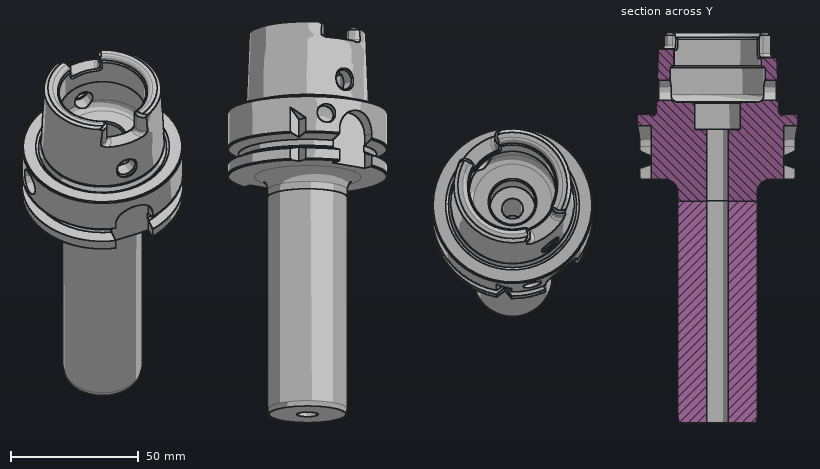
import cadquery as cq
import math

TOTAL_HEIGHT = 152.9
JOINT_Z = 87.0
FLANGE_BOTTOM_Z = 95.3
FLANGE_TOP_Z = 121.0

SHANK_RADIUS = 15.6
FOOT_LENGTH = 2.1
FOOT_INSET = 0.5
COOLANT_RADIUS = 4.1

NECK_RADIUS = SHANK_RADIUS
NECK_FILLET = 5.2
FLANGE_RADIUS = 31.5
FLANGE_EDGE = 0.5
GROOVE_RADIUS = 27.0
GROOVE_UPPER_Z = 106.1
GROOVE_FLOOR_TOP_Z = 104.3
GROOVE_FLOOR_BOTTOM_Z = 101.8
GROOVE_FOOT_RADIUS = 27.8
GROOVE_FOOT_Z = 101.0
GROOVE_LOWER_Z = 99.8

TAPER_FOOT_RADIUS = 24.2
TAPER_FOOT_Z = 123.0
TAPER_TOP_RADIUS = 23.0
RIM_OUTER_RADIUS = 21.4
RIM_EDGE_DROP = 0.54
RIM_INNER_RADIUS = 19.5
RELIEF_RADIUS = 23.9
RELIEF_Z = 122.0
RELIEF_OUTER_RADIUS = 26.1
RELIEF_FLOOR_RADIUS = 25.0
RELIEF_DEPTH = 0.6

BORE_RADIUS = 17.0
BORE_EDGE_CHAMFER = 0.6
CLAMP_EDGE_Z = 139.9
CHAMBER_RADIUS = 18.5
CHAMBER_ANGLE = 60
BORE_FLOOR_Z = 125.7
BORE_FLOOR_FILLET = 3.0
TUBE_SEAT_RADIUS = 8.9
TUBE_SEAT_DEPTH = 10.7
TUBE_SEAT_CHAMFER = 0.6

RIM_SLOT_HALF_WIDTH = 6.3
RIM_SLOT_FLOOR_FILLET = 1.5
RIM_SLOT_FLARE_RADIUS = 3.2
RIM_SLOT_FLARE_END = 21.0
SHALLOW_SLOT_FLOOR_Z = 146.5
DEEP_SLOT_FLOOR_Z = 143.1
RIM_SLOT_CHAMFER = 1.0

CROSS_HOLE_Z = 130.3
CROSS_HOLE_RADIUS = 3.8
CROSS_HOLE_MOUTH_RADIUS = 4.5
CROSS_HOLE_WALL = 23.5

KEYWAY_HALF_WIDTH = 8.0
KEYWAY_FLOOR = 26.0
KEYWAY_ARC_Z = 108.4

NOTCH_WALL = 20.0
NOTCH_TOP_Z = 111.9

RIM_HOLE_Z = 114.0
CHIP_HOLE_RADIUS = 5.0
CHIP_HOLE_DEPTH = 4.6
CENTRE_MARK_RADIUS = 1.0
CENTRE_MARK_DEPTH = 0.6
SIDE_HOLE_RADIUS = 3.7
SIDE_HOLE_DEPTH = 4.0
SIDE_HOLE_ANGLE = 24.6
DRILL_POINT_ANGLE = 118

CLEARANCE = 15.3
TOLERANCE = 0.02


def turned(profile):
    """Revolve a closed XZ profile (radius, height) about the Z axis."""
    return profile.close().revolve(360, (0, 0, 0), (0, 1, 0))


def make_shank():
    """Plain shank with a narrowed foot and the coolant passage through it."""
    profile = (
        cq.Workplane("XZ")
        .moveTo(COOLANT_RADIUS, 0)
        .lineTo(SHANK_RADIUS - FOOT_INSET, 0)
        .lineTo(SHANK_RADIUS, FOOT_LENGTH)
        .lineTo(SHANK_RADIUS, JOINT_Z)
        .lineTo(COOLANT_RADIUS, JOINT_Z)
    )
    return turned(profile)


def outer_form():
    """Solid outside shape of the holder: neck, grooved flange and taper."""
    flange_edge_radius = FLANGE_RADIUS - FLANGE_EDGE
    fillet_mid = NECK_FILLET * (1 - math.sqrt(0.5))
    relief_bottom_z = FLANGE_TOP_Z - RELIEF_DEPTH
    return turned(
        cq.Workplane("XZ")
        .moveTo(0, JOINT_Z)
        .lineTo(NECK_RADIUS, JOINT_Z)
        .lineTo(NECK_RADIUS, FLANGE_BOTTOM_Z - NECK_FILLET)
        .threePointArc(
            (NECK_RADIUS + fillet_mid, FLANGE_BOTTOM_Z - fillet_mid),
            (NECK_RADIUS + NECK_FILLET, FLANGE_BOTTOM_Z),
        )
        .lineTo(flange_edge_radius, FLANGE_BOTTOM_Z)
        .lineTo(FLANGE_RADIUS, FLANGE_BOTTOM_Z + FLANGE_EDGE)
        .lineTo(FLANGE_RADIUS, GROOVE_LOWER_Z)
        .lineTo(GROOVE_FOOT_RADIUS, GROOVE_FOOT_Z)
        .lineTo(GROOVE_RADIUS, GROOVE_FLOOR_BOTTOM_Z)
        .lineTo(GROOVE_RADIUS, GROOVE_FLOOR_TOP_Z)
        .lineTo(flange_edge_radius, GROOVE_UPPER_Z)
        .lineTo(FLANGE_RADIUS, GROOVE_UPPER_Z + FLANGE_EDGE)
        .lineTo(FLANGE_RADIUS, FLANGE_TOP_Z - FLANGE_EDGE)
        .lineTo(flange_edge_radius, FLANGE_TOP_Z)
        .lineTo(RELIEF_OUTER_RADIUS, FLANGE_TOP_Z)
        .lineTo(RELIEF_FLOOR_RADIUS, relief_bottom_z)
        .lineTo(RELIEF_RADIUS, RELIEF_Z)
        .lineTo(TAPER_FOOT_RADIUS, TAPER_FOOT_Z)
        .lineTo(TAPER_TOP_RADIUS, TOTAL_HEIGHT - RIM_EDGE_DROP)
        .lineTo(RIM_OUTER_RADIUS, TOTAL_HEIGHT)
        .lineTo(0, TOTAL_HEIGHT)
    )


def clamping_bore():
    """Cutter for the stepped bore down the axis."""
    mouth_foot_radius = BORE_RADIUS + BORE_EDGE_CHAMFER
    mouth_radius = RIM_INNER_RADIUS - mouth_foot_radius
    mouth_mid = mouth_radius * (1 - math.sqrt(0.5))
    chamber_step = CHAMBER_RADIUS - BORE_RADIUS
    chamber_z = CLAMP_EDGE_Z - chamber_step / math.tan(math.radians(CHAMBER_ANGLE))
    fillet_mid = BORE_FLOOR_FILLET * (1 - math.sqrt(0.5))
    seat_floor_z = BORE_FLOOR_Z - TUBE_SEAT_DEPTH
    return turned(
        cq.Workplane("XZ")
        .moveTo(0, TOTAL_HEIGHT)
        .lineTo(RIM_INNER_RADIUS, TOTAL_HEIGHT)
        .threePointArc(
            (mouth_foot_radius + mouth_mid, TOTAL_HEIGHT - mouth_mid),
            (mouth_foot_radius, TOTAL_HEIGHT - mouth_radius),
        )
        .lineTo(BORE_RADIUS, TOTAL_HEIGHT - mouth_radius - BORE_EDGE_CHAMFER)
        .lineTo(BORE_RADIUS, CLAMP_EDGE_Z)
        .lineTo(CHAMBER_RADIUS, chamber_z)
        .lineTo(CHAMBER_RADIUS, BORE_FLOOR_Z + BORE_FLOOR_FILLET)
        .threePointArc(
            (CHAMBER_RADIUS - fillet_mid, BORE_FLOOR_Z + fillet_mid),
            (CHAMBER_RADIUS - BORE_FLOOR_FILLET, BORE_FLOOR_Z),
        )
        .lineTo(TUBE_SEAT_RADIUS + TUBE_SEAT_CHAMFER, BORE_FLOOR_Z)
        .lineTo(TUBE_SEAT_RADIUS, BORE_FLOOR_Z - TUBE_SEAT_CHAMFER)
        .lineTo(TUBE_SEAT_RADIUS, seat_floor_z)
        .lineTo(COOLANT_RADIUS, seat_floor_z)
        .lineTo(COOLANT_RADIUS, JOINT_Z)
        .lineTo(0, JOINT_Z)
    )


def rim_slot_outline(base_z):
    """Plan of a driving slot along +X, with walls that flare out in arcs to the taper surface."""
    flare = RIM_SLOT_FLARE_RADIUS
    flare_start = RIM_SLOT_FLARE_END - flare
    flare_edge = RIM_SLOT_HALF_WIDTH + flare
    inner_x = BORE_RADIUS / 2
    outer_x = RIM_SLOT_FLARE_END + CLEARANCE
    side_y = flare_edge + CLEARANCE
    return (
        cq.Workplane("XY", origin=(0, 0, base_z))
        .moveTo(inner_x, -RIM_SLOT_HALF_WIDTH)
        .lineTo(flare_start, -RIM_SLOT_HALF_WIDTH)
        .radiusArc((RIM_SLOT_FLARE_END, -flare_edge), flare)
        .lineTo(RIM_SLOT_FLARE_END, -side_y)
        .lineTo(outer_x, -side_y)
        .lineTo(outer_x, side_y)
        .lineTo(RIM_SLOT_FLARE_END, side_y)
        .lineTo(RIM_SLOT_FLARE_END, flare_edge)
        .radiusArc((flare_start, RIM_SLOT_HALF_WIDTH), flare)
        .lineTo(inner_x, RIM_SLOT_HALF_WIDTH)
        .close()
    )


def rim_slot(floor_z, direction):
    """Cutter for one driving slot, opening towards +X (direction 0) or -X (direction 180)."""
    slot = rim_slot_outline(floor_z).extrude(TOTAL_HEIGHT - floor_z)
    slot = slot.faces("<Z").edges().fillet(RIM_SLOT_FLOOR_FILLET)
    mouth_z = TOTAL_HEIGHT - RIM_SLOT_CHAMFER
    mouth = rim_slot_outline(mouth_z).extrude(RIM_SLOT_CHAMFER, taper=-45)
    return slot.union(mouth).rotate((0, 0, 0), (0, 0, 1), direction)


def chamfer_rim_slots(holder):
    """Break the edges where the driving slots open into the bore."""

    def is_slot_edge(edge):
        middle = edge.positionAt(0.5)
        on_bore = abs(math.hypot(middle.x, middle.y) - BORE_RADIUS) < TOLERANCE
        within_width = abs(middle.y) < RIM_SLOT_HALF_WIDTH + TOLERANCE
        above_floor = middle.z > DEEP_SLOT_FLOOR_Z - TOLERANCE
        return on_bore and within_width and above_floor

    return holder.edges().filter(is_slot_edge).chamfer(BORE_EDGE_CHAMFER)


def cross_hole():
    """Cutter for the hole along X through both taper walls, countersunk outside."""
    wall_radius = TAPER_FOOT_RADIUS
    hole = (
        cq.Workplane("YZ", origin=(-wall_radius, 0, CROSS_HOLE_Z))
        .circle(CROSS_HOLE_RADIUS)
        .extrude(2 * wall_radius)
    )
    countersink_depth = CROSS_HOLE_MOUTH_RADIUS - CROSS_HOLE_RADIUS
    for side in (-1, 1):
        inward = cq.Vector(-side, 0, 0)
        mouth = cq.Vector(side * CROSS_HOLE_WALL, 0, CROSS_HOLE_Z)
        countersink = cq.Solid.makeCone(
            CROSS_HOLE_MOUTH_RADIUS, CROSS_HOLE_RADIUS, countersink_depth, mouth, inward
        )
        relief = cq.Solid.makeCylinder(
            CROSS_HOLE_MOUTH_RADIUS, wall_radius - CROSS_HOLE_WALL, mouth, -inward
        )
        hole = hole.union(cq.Workplane("XY").add(countersink.fuse(relief)))
    return hole


def keyway(direction):
    """Cutter for one round-topped keyway in the flange rim."""
    arch = (
        cq.Workplane("YZ", origin=(KEYWAY_FLOOR, 0, 0))
        .moveTo(-KEYWAY_HALF_WIDTH, FLANGE_BOTTOM_Z)
        .lineTo(KEYWAY_HALF_WIDTH, FLANGE_BOTTOM_Z)
        .lineTo(KEYWAY_HALF_WIDTH, KEYWAY_ARC_Z)
        .threePointArc((0, KEYWAY_ARC_Z + KEYWAY_HALF_WIDTH), (-KEYWAY_HALF_WIDTH, KEYWAY_ARC_Z))
        .close()
        .extrude(CLEARANCE)
    )
    return arch.rotate((0, 0, 0), (0, 0, 1), direction)


def corner_notch():
    """Cutter for the right-angled notch at (-X, +Y), whose top rises at 45 degrees towards +Y."""
    depth = FLANGE_RADIUS - NOTCH_WALL
    return (
        cq.Workplane("YZ", origin=(-NOTCH_WALL, 0, 0))
        .moveTo(NOTCH_WALL, FLANGE_BOTTOM_Z)
        .lineTo(NOTCH_WALL + depth, FLANGE_BOTTOM_Z)
        .lineTo(NOTCH_WALL + depth, NOTCH_TOP_Z + depth)
        .lineTo(NOTCH_WALL, NOTCH_TOP_Z)
        .close()
        .extrude(-depth)
    )


def rim_hole(radius, depth, tip_radius, tip_depth):
    """Cutter for a hole along +X that ends in a conical tip, with its mouth at the origin."""
    floor = cq.Vector(depth, 0, 0)
    outward = cq.Vector(-1, 0, 0)
    bore = cq.Solid.makeCylinder(radius, depth + CLEARANCE, floor, outward)
    tip = cq.Solid.makeCone(tip_radius, 0, tip_depth, floor, -outward)
    return cq.Workplane("XY").add(bore.fuse(tip))


def chip_hole():
    """Cutter for the flat-floored data chip hole in the -Y side, with its centre mark."""
    hole = rim_hole(CHIP_HOLE_RADIUS, CHIP_HOLE_DEPTH, CENTRE_MARK_RADIUS, CENTRE_MARK_DEPTH)
    return hole.rotate((0, 0, 0), (0, 0, 1), 90).translate((0, -FLANGE_RADIUS, RIM_HOLE_Z))


def side_hole():
    """Cutter for the radial drilled hole, turned from -X towards +Y."""
    tip_depth = SIDE_HOLE_RADIUS / math.tan(math.radians(DRILL_POINT_ANGLE / 2))
    hole = rim_hole(SIDE_HOLE_RADIUS, SIDE_HOLE_DEPTH, SIDE_HOLE_RADIUS, tip_depth)
    return hole.translate((-FLANGE_RADIUS, 0, RIM_HOLE_Z)).rotate((0, 0, 0), (0, 0, 1), -SIDE_HOLE_ANGLE)


def make_holder():
    """Hollow-taper holder that stands on the shank."""
    holder = outer_form().cut(clamping_bore())
    holder = holder.cut(rim_slot(SHALLOW_SLOT_FLOOR_Z, 180))
    holder = holder.cut(rim_slot(DEEP_SLOT_FLOOR_Z, 0))
    holder = chamfer_rim_slots(holder)
    holder = holder.cut(cross_hole())
    for direction in (0, 180):
        holder = holder.cut(keyway(direction))
    holder = holder.cut(corner_notch())
    holder = holder.cut(chip_hole())
    return holder.cut(side_hole())


shank = make_shank()
holder = make_holder()

result = cq.Compound.makeCompound([shank.val(), holder.val()])